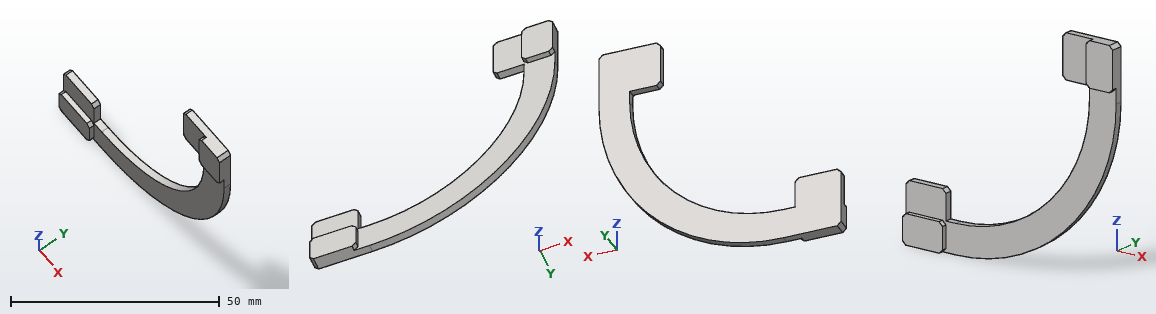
import cadquery as cq
import math

span = 63.0
arm_width = 8.0
outer_radius = 48.0
base_thickness = 2.0
total_thickness = 3.4
pad_length = 12.0
plate_width = 16.0
corner_chamfer = 1.0

inner_radius = outer_radius - arm_width
bend_x = span - outer_radius
bend_z = outer_radius


def plate(x_min, z_min, x_size, z_size, thickness):
    """Rectangular plate with four bevelled corners, its back face on Y = 0."""
    return (
        cq.Workplane("XZ")
        .center(x_min + x_size / 2, z_min + z_size / 2)
        .rect(x_size, z_size)
        .extrude(thickness)
        .edges("|Y")
        .chamfer(corner_chamfer)
    )


def curved_arm():
    """Quarter bend with a straight run at each end, ending inside the end plates."""
    start = corner_chamfer
    end = span - corner_chamfer
    diagonal = math.sqrt(0.5)
    outer_mid = (bend_x + outer_radius * diagonal, bend_z - outer_radius * diagonal)
    inner_mid = (bend_x + inner_radius * diagonal, bend_z - inner_radius * diagonal)
    return (
        cq.Workplane("XZ")
        .moveTo(start, 0)
        .lineTo(bend_x, 0)
        .threePointArc(outer_mid, (span, bend_z))
        .lineTo(span, end)
        .lineTo(span - arm_width, end)
        .lineTo(span - arm_width, bend_z)
        .threePointArc(inner_mid, (bend_x, arm_width))
        .lineTo(start, arm_width)
        .close()
        .extrude(base_thickness)
    )


def lower_end():
    """End plate and raised pad at the low-X end of the arm."""
    base = plate(0, 0, pad_length, plate_width, base_thickness)
    pad = plate(0, 0, pad_length, arm_width, total_thickness)
    return base.union(pad)


def upper_end():
    """End plate and raised pad at the high-Z end of the arm."""
    z_min = span - pad_length
    base = plate(span - plate_width, z_min, plate_width, pad_length, base_thickness)
    pad = plate(span - arm_width, z_min, arm_width, pad_length, total_thickness)
    return base.union(pad)


result = curved_arm().union(lower_end()).union(upper_end())